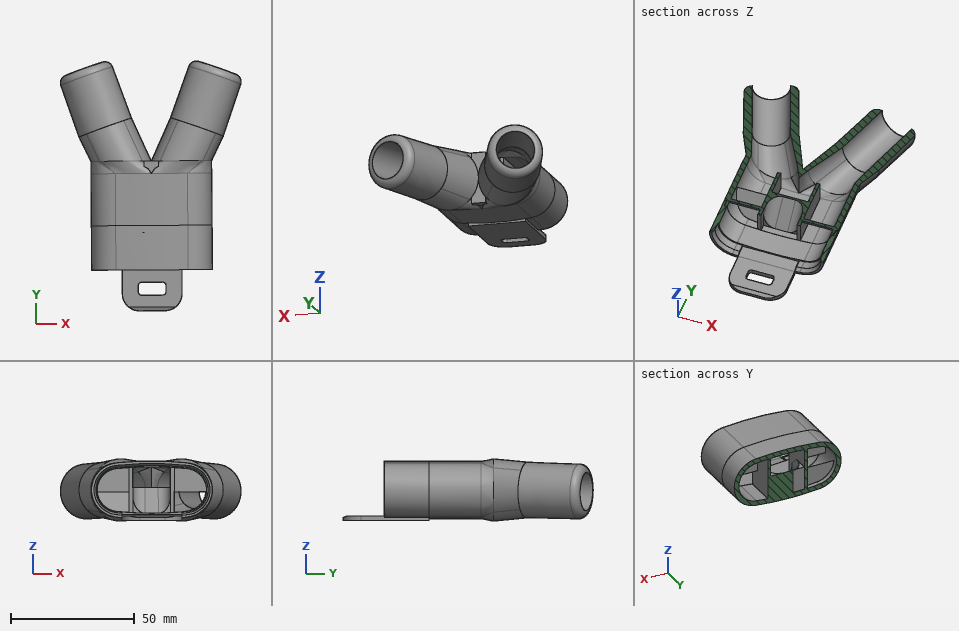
import cadquery as cq
import math

HALF_WIDTH = 24.4
HALF_HEIGHT = 11.7
END_RADIUS = 11.0
WALL = 2.3
FLOOR = WALL - HALF_HEIGHT
MOUTH_WALL = 1.8
MOUTH_FLOOR = MOUTH_WALL - HALF_HEIGHT
RIM_WALL = 1

COLLAR_LENGTH = 17.9
MOUTH_DEPTH = 5.2
MOUTH_TAPER = 1.8
SPIGOT_LENGTH = 2.8
SPIGOT_WALL = WALL / 2

TAG_WIDTH = 24.2
TAG_REACH = 16.5
TAG_TOP = -10.4
TAG_THICKNESS = 1.9
TAG_CORNER = 7.1
TAG_BEVEL_LENGTH = 1.6
TAG_BEVEL_HEIGHT = 0.7
SLOT_WIDTH = 11.1
SLOT_HEIGHT = 5.1
SLOT_CORNER = 1.3
SLOT_REACH = 7.6

OVAL_END = 38.9
FORK_Y = 43.9
FORK_HALF_WIDTH = HALF_WIDTH / 2
FORK_HALF_HEIGHT = 12.6
WEB_WIDTH = 5.8
WEB_HEIGHT = 21.2
RING_X = 18.4
RING_Y = 57.5
RING_RADIUS = 11.3
ARM_SPREAD = 19.5
ARM_DROP = 1.5
ARM_LENGTH = 25.3
ARM_TIP_RADIUS = 11.1
ARM_TIP_FILLET = 3.2
BORE_RADIUS = 7.7

INNER_START = COLLAR_LENGTH - SPIGOT_LENGTH
PLATE_THICKNESS = 1.5
PLATE_GAP = 15.2
BAFFLE_EDGE = -0.7
RAMP_TOP = 1.1
RAMP_FILLET = 4.9

YAW = 0.4
SIDES = (-1, 1)
QUARTER_STEPS = (0, 22.5, 45, 67.5, 90)

END_CENTRE = HALF_WIDTH - END_RADIUS
CROWN_RADIUS = (END_CENTRE**2 + HALF_HEIGHT**2 - END_RADIUS**2) / (2 * (HALF_HEIGHT - END_RADIUS))
CROWN_CENTRE = HALF_HEIGHT - CROWN_RADIUS


def crown_height(x, inset):
    """Height of the crown arc of the oval at a given x."""
    return CROWN_CENTRE + math.sqrt((CROWN_RADIUS - inset) ** 2 - x**2)


def oval_corner(inset):
    """Point in the +X +Z quarter where the crown arc runs into the end arc."""
    angle = math.atan2(-CROWN_CENTRE, END_CENTRE)
    radius = END_RADIUS - inset
    return END_CENTRE + radius * math.cos(angle), radius * math.sin(angle)


def oval_outline(y, inset):
    """Closed oval across Y, its outline moved inwards by the inset."""
    x, z = oval_corner(inset)
    half_width = HALF_WIDTH - inset
    half_height = HALF_HEIGHT - inset
    return (
        cq.Workplane("XZ", origin=(0, y, 0))
        .moveTo(-x, z)
        .threePointArc((0, half_height), (x, z))
        .threePointArc((half_width, 0), (x, -z))
        .threePointArc((0, -half_height), (-x, -z))
        .threePointArc((-half_width, 0), (-x, z))
        .close()
    )


def oval(y_start, y_end, inset):
    """Oval bar along Y between two places, its outline moved inwards by the inset."""
    return oval_outline(y_start, inset).extrude(y_start - y_end)


def box(x_range, y_range, z_range):
    """Box between two limits on each axis."""
    low = cq.Vector(x_range[0], y_range[0], z_range[0])
    size = (x_range[1] - x_range[0], y_range[1] - y_range[0], z_range[1] - z_range[0])
    return cq.Workplane(obj=cq.Solid.makeBox(*size, pnt=low))


def along_y_profile(points):
    """Profile in Y and Z, as wide as the tag."""
    return cq.Workplane("YZ").polyline(points).close().extrude(TAG_WIDTH / 2, both=True)


def tag_plan():
    """Plan outline of the tag: rounded at its free end, with a slot for a strap."""
    z_range = (-2 * HALF_HEIGHT, 0)
    plate = box((-TAG_WIDTH / 2, TAG_WIDTH / 2), (-TAG_REACH, COLLAR_LENGTH), z_range)
    slot = box(
        (-SLOT_WIDTH / 2, SLOT_WIDTH / 2),
        (-SLOT_REACH - SLOT_HEIGHT / 2, -SLOT_REACH + SLOT_HEIGHT / 2),
        z_range,
    )
    return plate.edges("|Z and <Y").fillet(TAG_CORNER).cut(slot.edges("|Z").fillet(SLOT_CORNER))


def make_tag():
    """Flat tag with a bevelled tip, a sloping lead into the mouth and a pad under the collar."""
    tag_bottom = TAG_TOP - TAG_THICKNESS
    pad_top = RIM_WALL - HALF_HEIGHT
    profile = along_y_profile([
        (-TAG_REACH, tag_bottom),
        (-TAG_REACH, TAG_TOP - TAG_BEVEL_HEIGHT),
        (TAG_BEVEL_LENGTH - TAG_REACH, TAG_TOP),
        (0, TAG_TOP),
        (MOUTH_DEPTH, MOUTH_FLOOR),
        (MOUTH_DEPTH, pad_top),
        (COLLAR_LENGTH, pad_top),
        (COLLAR_LENGTH, tag_bottom),
    ])
    return profile.intersect(tag_plan())


def tag_clearance():
    """Space above the sloping lead, so that the tag runs level through the rim."""
    return along_y_profile([(0, TAG_TOP), (MOUTH_DEPTH, MOUTH_FLOOR), (MOUTH_DEPTH, 0), (0, 0)])


def mouth_taper():
    """Oval flare that thins the wall towards the rim."""
    rim = oval_outline(0, RIM_WALL).val()
    throat = oval_outline(MOUTH_TAPER, MOUTH_WALL).val()
    return cq.Workplane(obj=cq.Solid.makeLoft([rim, throat], True))


def make_collar():
    """Oval sleeve with a wider mouth in front and a socket for the spigot behind."""
    collar = oval(0, COLLAR_LENGTH, 0).cut(oval(0, COLLAR_LENGTH, WALL))
    collar = collar.cut(oval(0, MOUTH_DEPTH, MOUTH_WALL)).cut(mouth_taper())
    collar = collar.cut(oval(INNER_START, COLLAR_LENGTH, SPIGOT_WALL))
    return collar.cut(tag_clearance()).union(make_tag())


def half_oval_wire(side, inset):
    """Closed half of the oval on one side of X = 0, where the oval ends."""
    x, z = oval_corner(inset)
    y = OVAL_END

    def point(px, pz):
        return cq.Vector(side * px, y, pz)

    top = point(0, HALF_HEIGHT - inset)
    bottom = point(0, inset - HALF_HEIGHT)
    crown_z = crown_height(x / 2, inset)
    return cq.Wire.assembleEdges([
        cq.Edge.makeThreePointArc(top, point(x / 2, crown_z), point(x, z)),
        cq.Edge.makeThreePointArc(point(x, z), point(HALF_WIDTH - inset, 0), point(x, -z)),
        cq.Edge.makeThreePointArc(point(x, -z), point(x / 2, -crown_z), bottom),
        cq.Edge.makeLine(bottom, top),
    ])


def round_wire(side, plane, half_width, half_height):
    """Ellipse of four curves that pair up with those of the half oval."""
    edges = []
    for start in (135, 45, -45, -135):
        angles = [math.radians(start - step) for step in QUARTER_STEPS]
        points = [(side * half_width * math.cos(a), half_height * math.sin(a), 0) for a in angles]
        edges.append(cq.Edge.makeSpline([plane.toWorldCoords(p) for p in points]))
    return cq.Wire.assembleEdges(edges)


def arm_plane(side):
    """Plane across an arm at its ring, its normal running out along the arm."""
    spread = math.radians(side * ARM_SPREAD)
    drop = math.radians(ARM_DROP)
    axis = (math.sin(spread) * math.cos(drop), math.cos(spread) * math.cos(drop), -math.sin(drop))
    return cq.Plane((side * RING_X, RING_Y, 0), (math.cos(spread), -math.sin(spread), 0), axis)


def fork_branch(side, inset, ring_radius):
    """One branch from the end of the oval to the ring of its arm."""
    fork_plane = cq.Plane((side * FORK_HALF_WIDTH, FORK_Y, 0), (1, 0, 0), (0, -1, 0))
    ring_plane = arm_plane(side)
    ring_plane = cq.Plane(ring_plane.origin, ring_plane.xDir, -ring_plane.zDir)
    half_oval = half_oval_wire(side, inset)
    fork = round_wire(side, fork_plane, FORK_HALF_WIDTH - inset, FORK_HALF_HEIGHT - inset)
    ring = round_wire(side, ring_plane, ring_radius, ring_radius)
    blend = cq.Workplane(obj=cq.Solid.makeLoft([half_oval, fork], True))
    neck = cq.Workplane(obj=cq.Solid.makeLoft([fork, ring], True))
    return blend.union(neck)


def arm_tube(side):
    """Tapering round arm beyond the ring, rounded at its tip."""
    arm = cq.Workplane(arm_plane(side)).circle(RING_RADIUS)
    arm = arm.workplane(offset=ARM_LENGTH).circle(ARM_TIP_RADIUS).loft(ruled=True)
    return arm.faces(">Y").edges().fillet(ARM_TIP_FILLET)


def arm_bore(side):
    """Straight round bore of an arm, from the ring to the tip."""
    return cq.Workplane(arm_plane(side)).circle(BORE_RADIUS).extrude(ARM_LENGTH)


def ramp_wedge(x_range, top):
    """45 degree ramp that rises from the cavity floor to the given height."""
    low = -HALF_HEIGHT
    start = COLLAR_LENGTH
    end = start + top - FLOOR
    return (
        cq.Workplane("YZ", origin=(x_range[0], 0, 0))
        .polyline([(start, low), (start, FLOOR), (end, top), (end, low)])
        .close()
        .extrude(x_range[1] - x_range[0])
    )


def middle_ramp():
    """Ramp between the plates, its channel rounded along both sides."""
    half_gap = PLATE_GAP / 2
    rise = RAMP_TOP - FLOOR
    end = COLLAR_LENGTH + rise
    block = box((-half_gap, half_gap), (COLLAR_LENGTH, end), (-HALF_HEIGHT, RAMP_TOP))
    along_ramp = cq.Plane((0, COLLAR_LENGTH, FLOOR), (1, 0, 0), (0, -1, -1))
    channel = (
        cq.Workplane(along_ramp)
        .moveTo(-half_gap, 2 * rise)
        .lineTo(-half_gap, RAMP_FILLET)
        .radiusArc((RAMP_FILLET - half_gap, 0), -RAMP_FILLET)
        .lineTo(half_gap - RAMP_FILLET, 0)
        .radiusArc((half_gap, RAMP_FILLET), -RAMP_FILLET)
        .lineTo(half_gap, 2 * rise)
        .close()
        .extrude(3 * rise, both=True)
    )
    return block.cut(channel)


def make_partitions():
    """Two upright plates, an upper baffle outside each, and the ramps below."""
    plate_outside = PLATE_GAP / 2 + PLATE_THICKNESS
    full_height = (-HALF_HEIGHT, HALF_HEIGHT)
    baffle_depth = (COLLAR_LENGTH, COLLAR_LENGTH + PLATE_THICKNESS)
    parts = middle_ramp().union(ramp_wedge((-HALF_WIDTH, -plate_outside), BAFFLE_EDGE))
    for side in SIDES:
        plate_x = sorted((side * PLATE_GAP / 2, side * plate_outside))
        baffle_x = sorted((side * plate_outside, side * HALF_WIDTH))
        parts = parts.union(box(plate_x, (INNER_START, OVAL_END), full_height))
        parts = parts.union(box(baffle_x, baffle_depth, (BAFFLE_EDGE, HALF_HEIGHT)))
    return parts.intersect(oval(INNER_START, OVAL_END, WALL))


def make_web():
    """Short web that fills the crotch between the two branches."""
    web_side = WEB_WIDTH / 2
    web_top = WEB_HEIGHT / 2
    return box((-web_side, web_side), (OVAL_END, FORK_Y), (-web_top, web_top))


def make_y_piece():
    """Oval trunk with its spigot and partitions, forking into two hollow arms."""
    body = oval(COLLAR_LENGTH, OVAL_END, 0).union(oval(INNER_START, COLLAR_LENGTH, SPIGOT_WALL))
    body = body.union(make_web())
    for side in SIDES:
        body = body.union(fork_branch(side, 0, RING_RADIUS)).union(arm_tube(side))
    body = body.cut(oval(INNER_START, OVAL_END, WALL))
    for side in SIDES:
        body = body.cut(fork_branch(side, WALL, BORE_RADIUS)).cut(arm_bore(side))
    return body.union(make_partitions())


def turned(body):
    """The body turned slightly about Z."""
    return body.rotate((0, 0, 0), (0, 0, 1), YAW)


collar = turned(make_collar())
y_piece = turned(make_y_piece())

result = cq.Compound.makeCompound([collar.val(), y_piece.val()])